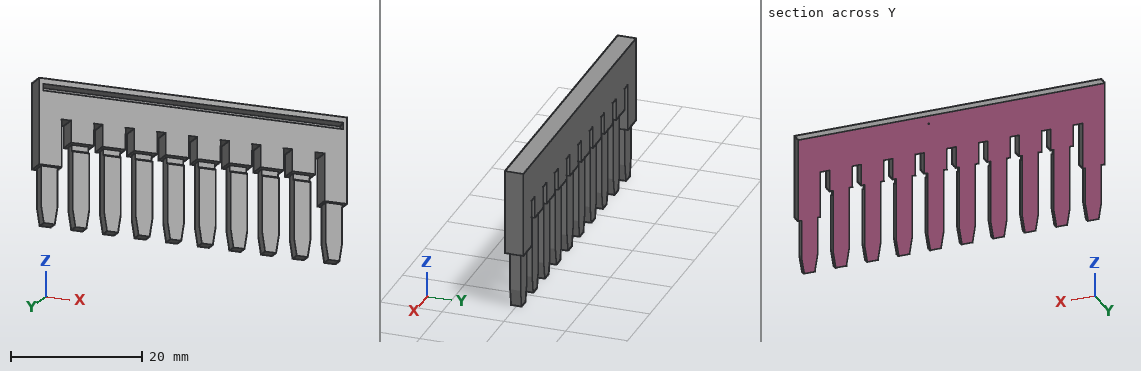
import cadquery as cq

body_length = 50.6
body_thickness = 3.0
total_height = 22.95
leg_width = 3.7
leg_drop = 13.85
tooth_width = 3.8
tooth_drop = 9.75
web_height = 6.2

pin_count = 10
pin_row_span = 46.8
pin_pitch = pin_row_span / (pin_count - 1)
pin_width = 2.75
pin_tip_width = 1.8
pin_thickness = 1.7
pin_taper_height = 2.9

relief_depth = 0.35
relief_slope_height = 0.25
relief_drop = 10.7

groove_drop = 0.9
groove_height = 1.05
groove_depth = 1.1
groove_roof_fall = 0.3
groove_floor_rise = 0.385
groove_end_margin = 0.65

body_front = -body_thickness / 2
pin_front = -pin_thickness / 2
pin_centres = [-pin_row_span / 2 + i * pin_pitch for i in range(pin_count)]
inner_centres = pin_centres[1:-1]


def block(width, thickness, top, bottom, x=0.0):
    """Box centred on x and on the mid-plane, spanning two heights."""
    return (
        cq.Workplane("XY", origin=(x, 0, bottom))
        .box(width, thickness, top - bottom, centered=(True, True, False))
    )


def make_body():
    body = block(body_length, body_thickness, 0, -web_height)
    leg_x = (body_length - leg_width) / 2
    for x in (-leg_x, leg_x):
        body = body.union(block(leg_width, body_thickness, 0, -leg_drop, x))
    for x in inner_centres:
        body = body.union(block(tooth_width, body_thickness, 0, -tooth_drop, x))
    return body


def make_pin(x, top):
    """Flat pin whose two narrow sides taper towards the tip."""
    half = pin_width / 2
    half_tip = pin_tip_width / 2
    taper_start = -total_height + pin_taper_height
    return (
        cq.Workplane("XZ", origin=(x, 0, 0))
        .polyline([
            (-half, top),
            (half, top),
            (half, taper_start),
            (half_tip, -total_height),
            (-half_tip, -total_height),
            (-half, taper_start),
        ])
        .close()
        .extrude(pin_thickness / 2, both=True)
    )


def make_relief(x):
    """Cutter for the shallow neck, ending below in a short slope."""
    relief_back = pin_front + relief_depth
    return (
        cq.Workplane("YZ", origin=(x, 0, 0))
        .moveTo(pin_front, -tooth_drop)
        .lineTo(relief_back, -tooth_drop)
        .lineTo(relief_back, -relief_drop)
        .lineTo(pin_front, -relief_drop - relief_slope_height)
        .close()
        .extrude(pin_width / 2, both=True)
    )


def make_groove():
    """Cutter with a tapered section, open at the front face."""
    length = body_length - 2 * groove_end_margin
    groove_back = body_front + groove_depth
    groove_top = -groove_drop
    groove_bottom = groove_top - groove_height
    return (
        cq.Workplane("YZ")
        .moveTo(body_front, groove_top)
        .lineTo(groove_back, groove_top - groove_roof_fall)
        .lineTo(groove_back, groove_bottom + groove_floor_rise)
        .lineTo(body_front, groove_bottom)
        .close()
        .extrude(length / 2, both=True)
    )


result = make_body().cut(make_groove())
for x in (pin_centres[0], pin_centres[-1]):
    result = result.union(make_pin(x, -leg_drop))
for x in inner_centres:
    result = result.union(make_pin(x, -tooth_drop).cut(make_relief(x)))